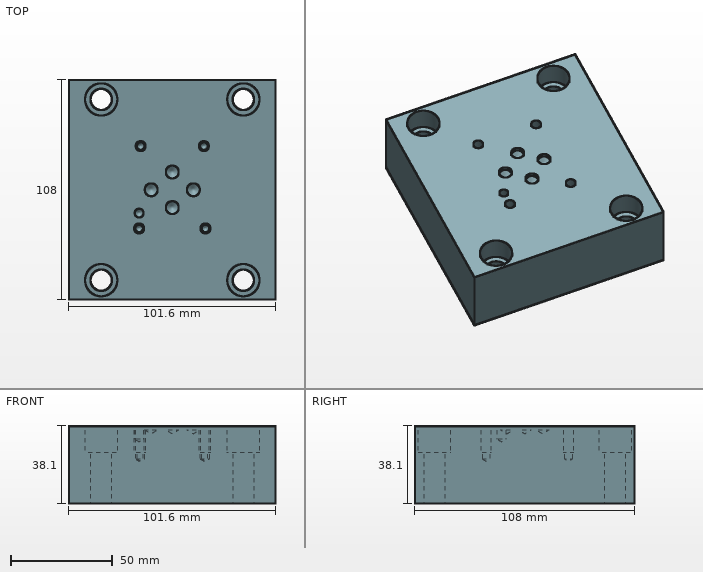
import cadquery as cq
import math

WIDTH = 101.6
LENGTH = 108.0
HEIGHT = 38.1

BOLT_SPACING_X = 69.8
BOLT_SPACING_Y = 88.8
BOLT_DIAMETER = 10.4
COUNTERBORE_DIAMETER = 15.9
COUNTERBORE_DEPTH = 13.0

DRILL_POINT_ANGLE = 118.0

PORT_DIAMETER = 6.4
PORT_DEPTH = 1.9
SIDE_PORT_X = 10.4
END_PORT_Y = 8.7

SCREW_DIAMETER = 4.9
SCREW_DEPTH = 13.0
PILOT_DIAMETER = 3.8
PILOT_DEPTH = 16.2
REAR_SCREW_X = 15.5
REAR_SCREW_Y = 21.5
FRONT_SCREW_X = 16.3
FRONT_SCREW_Y = -19.0

PIN_DIAMETER = 4.3
PIN_DEPTH = 6.5
PIN_Y = -11.4


def drilled_hole(x, y, diameter, depth):
    """Blind hole from the top face: straight to the given depth, then a drill point."""
    radius = diameter / 2
    tip_length = radius / math.tan(math.radians(DRILL_POINT_ANGLE / 2))
    profile = (
        cq.Workplane("XZ")
        .moveTo(0, HEIGHT)
        .lineTo(radius, HEIGHT)
        .lineTo(radius, HEIGHT - depth)
        .lineTo(0, HEIGHT - depth - tip_length)
        .close()
    )
    return profile.revolve(360, (0, 0), (0, 1)).translate((x, y, 0))


block = cq.Workplane("XY").box(WIDTH, LENGTH, HEIGHT, centered=(True, True, False))

block = (
    block.faces(">Z").workplane()
    .rarray(BOLT_SPACING_X, BOLT_SPACING_Y, 2, 2)
    .cboreHole(BOLT_DIAMETER, COUNTERBORE_DIAMETER, COUNTERBORE_DEPTH)
)

port_positions = [(-SIDE_PORT_X, 0), (SIDE_PORT_X, 0), (0, END_PORT_Y), (0, -END_PORT_Y)]
for x, y in port_positions:
    block = block.cut(drilled_hole(x, y, PORT_DIAMETER, PORT_DEPTH))

for x, y in [(REAR_SCREW_X, REAR_SCREW_Y), (FRONT_SCREW_X, FRONT_SCREW_Y)]:
    for side in (-1, 1):
        thread_bore = cq.Workplane("XY").circle(SCREW_DIAMETER / 2).extrude(SCREW_DEPTH)
        block = block.cut(thread_bore.translate((side * x, y, HEIGHT - SCREW_DEPTH)))
        block = block.cut(drilled_hole(side * x, y, PILOT_DIAMETER, PILOT_DEPTH))

block = block.cut(drilled_hole(-FRONT_SCREW_X, PIN_Y, PIN_DIAMETER, PIN_DEPTH))

result = block